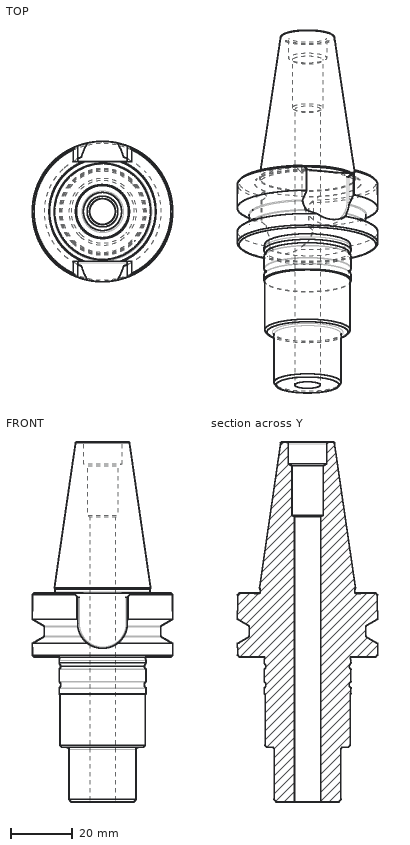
import cadquery as cq
import math

overall_length = 117.9

gauge_dia = 31.75
taper_ratio = 7 / 24
taper_length = 48.4
taper_end_z = 0.6
taper_tip_chamfer = 0.3
taper_end_chamfer_height = 0.4
neck_dia = 31.15
neck_root_fillet = 0.5

flange_dia = 46.0
flange_top_z = -1.0
flange_bottom_z = -22.0
flange_edge_chamfer = 0.6
recess_dia = 34.6
recess_depth = 0.2
recess_wall_slope = 0.25
groove_floor_dia = 38.2
groove_mid_z = -13.6
groove_mouth_width = 7.9
groove_flank_angle = 30.0
groove_corner_fillet = 0.4

slot_half_width = 8.15
slot_floor_y = 16.3
slot_centre_z = -11.0
slot_floor_fillet = 0.5
slot_mouth_bevel = 1.4
slot_rim_chamfer = 0.25

body_dia = 28.0
band_dia = 28.5
band_top_z = -23.0
band_bottom_z = -34.0
band_chamfer = (band_dia - body_dia) / 2
ring_groove_width = 2.0
ring_groove_depth = 0.55
ring_groove_edge_round = 0.2
upper_groove_mid_z = -24.95
lower_groove_mid_z = -31.1
body_bottom_z = -51.6
body_chamfer = 0.7

nose_dia = 22.0
nose_root_fillet = 0.6
nose_chamfer_width = 0.7
nose_chamfer_height = 0.9

mouth_round = 0.55
counterbore_dia = 12.5
counterbore_depth = 7.15
thread_bore_dia = 10.11
thread_bore_depth = 24.0
through_dia = 8.38
bore_cone_angle = 60.0

cut_clearance = 1.0
edge_pick_tolerance = 0.05

top_z = taper_length
bottom_z = top_z - overall_length


def taper_radius(z):
    """Radius of the steep taper at height z."""
    return (gauge_dia - taper_ratio * z) / 2


def cone_height(large_dia, small_dia):
    """Axial length of a bore shoulder cone between two diameters."""
    return (large_dia - small_dia) / 2 / math.tan(math.radians(bore_cone_angle))


def turned_body():
    """Outer shape as one revolved half profile, from the taper tip down."""
    flange_r = flange_dia / 2
    groove_r = groove_floor_dia / 2
    flank_height = (flange_r - groove_r) * math.tan(math.radians(groove_flank_angle))
    groove_top_z = groove_mid_z + groove_mouth_width / 2
    groove_low_z = groove_mid_z - groove_mouth_width / 2
    neck_r = neck_dia / 2
    recess_r = recess_dia / 2
    recess_z = flange_top_z - recess_depth
    edge = flange_edge_chamfer
    body_r = body_dia / 2
    band_r = band_dia / 2
    nose_r = nose_dia / 2
    taper_end_r = taper_radius(taper_end_z)
    half_width = ring_groove_width / 2
    ring_floor_r = band_r - ring_groove_depth
    ring_arc_r = (half_width**2 + ring_groove_depth**2) / (2 * ring_groove_depth)

    profile = (
        cq.Workplane("XZ")
        .moveTo(0, top_z)
        .lineTo(taper_radius(top_z) - taper_tip_chamfer, top_z)
        .lineTo(taper_radius(top_z - taper_tip_chamfer), top_z - taper_tip_chamfer)
        .lineTo(taper_end_r, taper_end_z)
        .lineTo(neck_r, taper_end_z - taper_end_chamfer_height)
        .lineTo(neck_r, recess_z + neck_root_fillet)
        .radiusArc((neck_r + neck_root_fillet, recess_z), -neck_root_fillet)
        .lineTo(recess_r, recess_z)
        .lineTo(recess_r + recess_wall_slope, flange_top_z)
        .lineTo(flange_r - edge, flange_top_z)
        .lineTo(flange_r, flange_top_z - edge)
        .lineTo(flange_r, groove_top_z)
        .lineTo(groove_r, groove_top_z - flank_height)
        .lineTo(groove_r, groove_low_z + flank_height)
        .lineTo(flange_r, groove_low_z)
        .lineTo(flange_r, flange_bottom_z + edge)
        .lineTo(flange_r - edge, flange_bottom_z)
        .lineTo(body_r, flange_bottom_z)
        .lineTo(band_r, band_top_z)
        .lineTo(band_r, upper_groove_mid_z + half_width)
        .lineTo(ring_floor_r, upper_groove_mid_z)
        .radiusArc((band_r, upper_groove_mid_z - half_width), -ring_arc_r)
        .lineTo(band_r, lower_groove_mid_z + half_width)
        .threePointArc((ring_floor_r, lower_groove_mid_z), (band_r, lower_groove_mid_z - half_width))
        .lineTo(band_r, band_bottom_z)
        .lineTo(body_r, band_bottom_z - band_chamfer)
        .lineTo(body_r, body_bottom_z + body_chamfer)
        .lineTo(body_r - body_chamfer, body_bottom_z)
        .lineTo(nose_r + nose_root_fillet, body_bottom_z)
        .radiusArc((nose_r, body_bottom_z - nose_root_fillet), -nose_root_fillet)
        .lineTo(nose_r, bottom_z + nose_chamfer_height)
        .lineTo(nose_r - nose_chamfer_width, bottom_z)
        .lineTo(0, bottom_z)
        .close()
    )

    blank = profile.revolve(360, (0, 0, 0), (0, 1, 0))
    groove_corners = cq.selectors.BoxSelector(
        (-groove_r, -groove_r, groove_low_z + edge_pick_tolerance),
        (groove_r, groove_r, groove_top_z - edge_pick_tolerance),
    )
    corner_edges = blank.edges("%CIRCLE").edges(groove_corners)
    blank = corner_edges.fillet(groove_corner_fillet)
    for edge_z in (
        upper_groove_mid_z - half_width,
        lower_groove_mid_z + half_width,
        lower_groove_mid_z - half_width,
    ):
        rim = cq.selectors.BoxSelector(
            (-band_r, -band_r, edge_z - edge_pick_tolerance),
            (band_r, band_r, edge_z + edge_pick_tolerance),
        )
        blank = blank.edges("%CIRCLE").edges(rim).fillet(ring_groove_edge_round)
    return blank


def axial_bore():
    """Stepped through bore with conical shoulders, opening at the taper tip."""
    counterbore_r = counterbore_dia / 2
    thread_r = thread_bore_dia / 2
    through_r = through_dia / 2
    counterbore_z = top_z - counterbore_depth
    thread_z = top_z - thread_bore_depth
    return (
        cq.Workplane("XZ")
        .moveTo(0, top_z)
        .lineTo(counterbore_r + mouth_round, top_z)
        .radiusArc((counterbore_r, top_z - mouth_round), -mouth_round)
        .lineTo(counterbore_r, counterbore_z)
        .lineTo(thread_r, counterbore_z - cone_height(counterbore_dia, thread_bore_dia))
        .lineTo(thread_r, thread_z)
        .lineTo(through_r, thread_z - cone_height(thread_bore_dia, through_dia))
        .lineTo(through_r, bottom_z)
        .lineTo(0, bottom_z)
        .close()
        .revolve(360, (0, 0, 0), (0, 1, 0))
    )


def drive_slot():
    """Cutter for the slot on the -Y side: round-ended, filleted at its floor, bevelled at its mouth."""
    slot_reach = flange_dia / 2 - slot_floor_y + cut_clearance
    pocket = (
        cq.Workplane("XZ", origin=(0, -slot_floor_y, 0))
        .moveTo(-slot_half_width, flange_top_z)
        .lineTo(-slot_half_width, slot_centre_z)
        .threePointArc((0, slot_centre_z - slot_half_width), (slot_half_width, slot_centre_z))
        .lineTo(slot_half_width, flange_top_z)
        .close()
        .extrude(slot_reach)
    )
    floor_edges = pocket.faces(">Y").edges("not >Z")
    pocket = floor_edges.fillet(slot_floor_fillet)
    bevel = (
        cq.Workplane("XZ", origin=(0, -slot_floor_y, 0))
        .moveTo(-slot_half_width - slot_mouth_bevel, flange_top_z)
        .lineTo(-slot_half_width, flange_top_z - slot_mouth_bevel)
        .lineTo(slot_half_width, flange_top_z - slot_mouth_bevel)
        .lineTo(slot_half_width + slot_mouth_bevel, flange_top_z)
        .close()
        .extrude(slot_reach)
    )
    return pocket.union(bevel)


def break_slot_rim(holder, side):
    """Chamfer the upright slot corners where they meet the upper flange rim (side is +1 or -1 in Y)."""
    rim_corners = cq.selectors.BoxSelector(
        (-slot_half_width - cut_clearance, side * (slot_floor_y + cut_clearance), flange_top_z),
        (slot_half_width + cut_clearance, side * flange_dia / 2, groove_mid_z),
    )
    return holder.edges("|Z").edges(rim_corners).chamfer(slot_rim_chamfer)


result = turned_body().cut(axial_bore())
for slot_angle in (0, 180):
    result = result.cut(drive_slot().rotate((0, 0, 0), (0, 0, 1), slot_angle))
for slot_side in (-1, 1):
    result = break_slot_rim(result, slot_side)